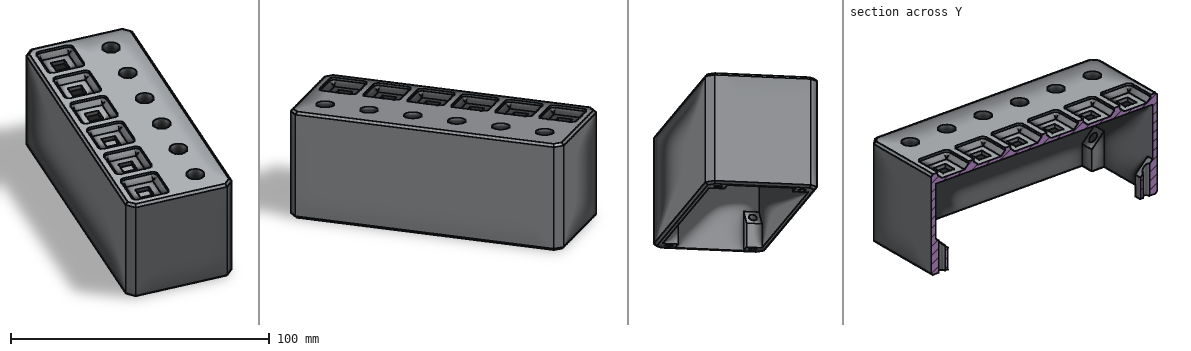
import cadquery as cq

LENGTH = 112.0
WIDTH = 44.0
HEIGHT = 44.0
CORNER_CHAMFER = 3.0
RIM_CHAMFER = 1.0

WALL = 2.5
TOP_THICKNESS = 4.8

STATION_COUNT = 6
STATION_FROM_END = 11.0
ROUND_HOLE_DIAMETER = 7.0
ROUND_HOLE_FROM_BACK = 12.0
POCKET_FROM_FRONT = 11.0
POCKET_SIZE = 15.2
POCKET_LIP = 1.0
POCKET_SLOPE = 2.0
SQUARE_HOLE_SIZE = 5.6

POST_SIZE = 6.0
POST_HEIGHT = 9.5
PILOT_DIAMETER = 3.0

TOP_Z = HEIGHT / 2
BOTTOM_Z = -HEIGHT / 2
CAVITY_LENGTH = LENGTH - 2 * WALL
CAVITY_WIDTH = WIDTH - 2 * WALL
ROUND_HOLE_Y = WIDTH / 2 - ROUND_HOLE_FROM_BACK
STATION_PITCH = (LENGTH - 2 * STATION_FROM_END) / (STATION_COUNT - 1)
POCKET_Y = POCKET_FROM_FRONT - WIDTH / 2


def station_points(y):
    """Places of the stations along X, at the given Y."""
    first_x = STATION_FROM_END - LENGTH / 2
    return [(first_x + i * STATION_PITCH, y) for i in range(STATION_COUNT)]


def make_block():
    block = cq.Workplane("XY").box(LENGTH, WIDTH, HEIGHT)
    block = block.edges("|Z").chamfer(CORNER_CHAMFER)
    return block.faces("<Z or >Z").edges().chamfer(RIM_CHAMFER)


def make_cavity():
    bottom = cq.Workplane("XY").workplane(offset=BOTTOM_Z)
    return bottom.rect(CAVITY_LENGTH, CAVITY_WIDTH).extrude(HEIGHT - TOP_THICKNESS)


def make_pocket():
    """Square pocket centred on the Z axis; its 45 degree walls flare out to round corners."""
    floor_size = POCKET_SIZE - 2 * POCKET_SLOPE
    floor = cq.Workplane("XY").workplane(offset=TOP_Z - POCKET_LIP - POCKET_SLOPE)
    flare = floor.rect(floor_size, floor_size).extrude(POCKET_SLOPE, taper=-45)
    mouth = cq.Workplane("XY").workplane(offset=TOP_Z - POCKET_LIP)
    lip = mouth.rect(POCKET_SIZE, POCKET_SIZE).extrude(POCKET_LIP).edges("|Z").fillet(POCKET_SLOPE)
    return flare.union(lip)


def make_post():
    """Post in the +X +Y corner; its top rises at 45 degrees towards the end wall."""
    wall_x = CAVITY_LENGTH / 2
    wall_y = CAVITY_WIDTH / 2
    low_z = BOTTOM_Z + POST_HEIGHT
    profile = [
        (wall_x - POST_SIZE, BOTTOM_Z),
        (wall_x, BOTTOM_Z),
        (wall_x, low_z + POST_SIZE),
        (wall_x - POST_SIZE, low_z),
    ]
    post = cq.Workplane("XZ", origin=(0, wall_y, 0)).polyline(profile).close().extrude(POST_SIZE)
    pilot_centre = (wall_x - POST_SIZE / 2, wall_y - POST_SIZE / 2)
    pilot = (
        cq.Workplane("XY")
        .workplane(offset=BOTTOM_Z)
        .pushPoints([pilot_centre])
        .circle(PILOT_DIAMETER / 2)
        .extrude(POST_HEIGHT + POST_SIZE)
    )
    return post.cut(pilot)


result = make_block().cut(make_cavity())

back_right_post = make_post()
back_posts = back_right_post.union(back_right_post.mirror("YZ"))
result = result.union(back_posts).union(back_posts.mirror("XZ"))

round_holes = (
    cq.Workplane("XY")
    .workplane(offset=TOP_Z - TOP_THICKNESS)
    .pushPoints(station_points(ROUND_HOLE_Y))
    .circle(ROUND_HOLE_DIAMETER / 2)
    .extrude(TOP_THICKNESS)
)
result = result.cut(round_holes)

square_holes = (
    cq.Workplane("XY")
    .workplane(offset=TOP_Z - TOP_THICKNESS)
    .pushPoints(station_points(POCKET_Y))
    .rect(SQUARE_HOLE_SIZE, SQUARE_HOLE_SIZE)
    .extrude(TOP_THICKNESS)
)
result = result.cut(square_holes)
pocket = make_pocket()
for x, y in station_points(POCKET_Y):
    result = result.cut(pocket.translate((x, y, 0)))